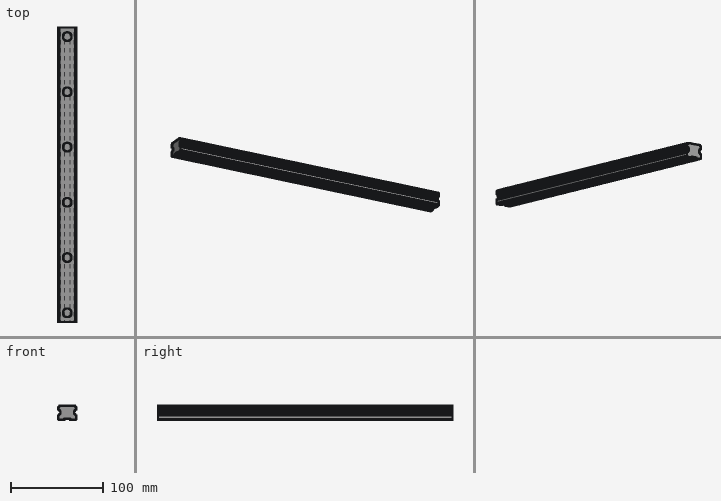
import cadquery as cq

rail_width = 20.0
rail_length = 320.0
rail_height = 15.5

track_radius = 1.6
top_edge_x = 8.4
upper_track_inner = (8.55, 15.2)
upper_track_outer = (9.75, 13.85)
head_side_top = 13.6
head_side_bottom = 11.95
lower_track_outer = (9.85, 11.15)
lower_track_inner = (8.25, 10.2)

neck_bottom = 9.4
waist_x = 7.4
waist_top = 9.3
waist_bottom = 8.2
slope_start = (7.5, 7.05)

base_side_top = 4.55
bottom_chamfer = 1.05
relief_width = 6.1
relief_depth = 0.92

hole_count = 6
hole_pitch = 60.0
hole_diameter = 9.5
cap_recess = 0.1


def make_half_rail():
    """Extrude the +X half of the rail section along Y."""
    side_x = rail_width / 2
    neck_x = lower_track_inner[0]
    relief_x = relief_width / 2
    section = (
        cq.Workplane("XZ")
        .moveTo(0, relief_depth)
        .lineTo(relief_x, relief_depth)
        .lineTo(relief_x, 0)
        .lineTo(side_x - bottom_chamfer, 0)
        .lineTo(side_x, bottom_chamfer)
        .lineTo(side_x, base_side_top)
        .lineTo(*slope_start)
        .lineTo(waist_x, waist_bottom)
        .lineTo(waist_x, waist_top)
        .lineTo(neck_x, neck_bottom)
        .lineTo(*lower_track_inner)
        .radiusArc(lower_track_outer, track_radius)
        .lineTo(side_x, head_side_bottom)
        .lineTo(side_x, head_side_top)
        .lineTo(*upper_track_outer)
        .radiusArc(upper_track_inner, track_radius)
        .lineTo(top_edge_x, rail_height)
        .lineTo(0, rail_height)
        .close()
    )
    return section.extrude(rail_length / 2, both=True)


def make_rail():
    """Join the half rail to its mirror image."""
    half_rail = make_half_rail()
    return half_rail.union(half_rail.mirror("YZ")).clean()


def make_cap_recesses():
    """Shallow round recesses in a single row along the top face."""
    top_plane = cq.Workplane("XY", origin=(0, 0, rail_height))
    row = top_plane.rarray(1, hole_pitch, 1, hole_count)
    return row.circle(hole_diameter / 2).extrude(-cap_recess)


result = make_rail().cut(make_cap_recesses())